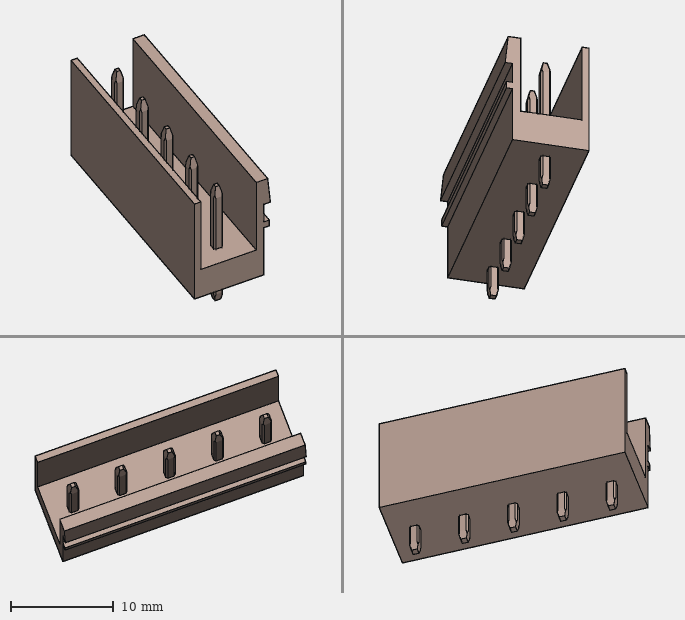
import cadquery as cq

length = 25.0
height = 12.0
overall_depth = 8.42
depth = 7.7
front_wall = 0.7
back_wall = 0.85
floor_thickness = 3.48

latch_reach = overall_depth - depth
latch_top_reach = 0.42
latch_bottom = 8.9

rib_reach = 0.6
rib_bottom = 5.95
rib_top = 6.7

pin_count = 5
pin_pitch = length / pin_count
pin_y = 3.8
pin_width = 1.0
pin_chamfer = 0.18
pin_bottom = -3.2
pin_top = 11.1
top_taper = 1.25
top_tip_width = 0.4
bottom_taper = 0.92
bottom_tip_width = 0.6


def make_pin_bar(bottom, top):
    """Square bar with chamfered long edges, centred on the Z axis."""
    return (
        cq.Workplane("XY", origin=(0, 0, bottom))
        .rect(pin_width, pin_width)
        .extrude(top - bottom)
        .edges("|Z")
        .chamfer(pin_chamfer)
    )


def make_taper_envelope():
    """Square bar with pyramid ends that bounds the pin."""
    shaft_bottom = pin_bottom + bottom_taper
    shaft_top = pin_top - top_taper
    shaft = (
        cq.Workplane("XY", origin=(0, 0, shaft_bottom))
        .rect(pin_width, pin_width)
        .extrude(shaft_top - shaft_bottom)
    )
    top_end = (
        shaft.faces(">Z").workplane()
        .rect(pin_width, pin_width)
        .workplane(offset=top_taper)
        .rect(top_tip_width, top_tip_width)
        .loft(combine=False)
    )
    bottom_end = (
        shaft.faces("<Z").workplane()
        .rect(pin_width, pin_width)
        .workplane(offset=bottom_taper)
        .rect(bottom_tip_width, bottom_tip_width)
        .loft(combine=False)
    )
    return shaft.union(top_end).union(bottom_end)


def make_pin(x):
    """One complete pin standing at the given X."""
    pin = make_pin_bar(pin_bottom, pin_top).intersect(make_taper_envelope())
    return pin.translate((x, pin_y, 0))


def make_housing(pin_positions):
    """Trough with latch and rib on its back, and a fitting hole for each pin."""
    channel_back = depth - back_wall
    profile = [
        (0, 0),
        (depth, 0),
        (depth, rib_bottom),
        (depth + rib_reach, rib_bottom),
        (depth + rib_reach, rib_top),
        (depth, rib_top),
        (depth, latch_bottom),
        (depth + latch_reach, latch_bottom),
        (depth + latch_top_reach, height),
        (channel_back, height),
        (channel_back, floor_thickness),
        (front_wall, floor_thickness),
        (front_wall, height),
        (0, height),
    ]
    housing = cq.Workplane("YZ").polyline(profile).close().extrude(length)
    for x in pin_positions:
        housing = housing.cut(make_pin_bar(0, floor_thickness).translate((x, pin_y, 0)))
    return housing


pin_positions = [(index + 0.5) * pin_pitch for index in range(pin_count)]
housing = make_housing(pin_positions)
pins = [make_pin(x) for x in pin_positions]

result = cq.Compound.makeCompound([housing.val(), *[pin.val() for pin in pins]])